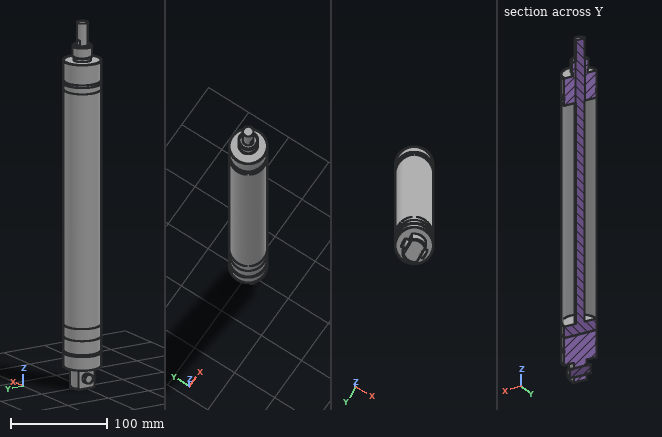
import cadquery as cq

TUBE_DIAMETER = 39.8
BORE_DIAMETER = 38.2
BODY_BOTTOM = 23.0
BODY_TOP = 353.5
BORE_BOTTOM = 54.8
BORE_TOP = 321.5
BODY_EDGE_CHAMFER = 0.5

GROOVE_DEPTH = 0.5
LOWER_GROOVE_BOTTOM = 38.0
LOWER_GROOVE_WIDTH = 2.0
UPPER_GROOVE_BOTTOM = 328.5
UPPER_GROOVE_WIDTH = 2.8

NOSE_DIAMETER = 20.5
NOSE_BOTTOM = 356.5
NOSE_TOP = 369.5
NOSE_CHAMFER = 1.0
NECK_DIAMETER = NOSE_DIAMETER - 2 * NOSE_CHAMFER

TANG_DIAMETER = 25.5
TANG_THICKNESS = 16.0
TANG_CHAMFER = 1.0
PIN_DIAMETER = 10.0
PIN_LENGTH = TANG_DIAMETER
PIN_HEIGHT = 11.5

ROD_DIAMETER = 11.5
ROD_TOP = 394
PISTON_THICKNESS = 13.0
WRENCH_FLAT_SPACING = 10.0
WRENCH_FLAT_TOP = 375.0


def cylinder(diameter, bottom, top):
    """Vertical cylinder on the Z axis between two heights."""
    return cq.Workplane("XY").workplane(offset=bottom).circle(diameter / 2).extrude(top - bottom)


def make_groove(bottom, width):
    """Ring that cuts a shallow groove into the body's outside."""
    core = cylinder(TUBE_DIAMETER - 2 * GROOVE_DEPTH, bottom, bottom + width)
    return cylinder(TUBE_DIAMETER, bottom, bottom + width).cut(core)


def make_tang():
    """Round stub with two flats that face along X."""
    stub = cylinder(TANG_DIAMETER, 0, BODY_BOTTOM).faces("<Z").chamfer(TANG_CHAMFER)
    slab = cq.Workplane("XY").box(
        TANG_THICKNESS, TANG_DIAMETER, BODY_BOTTOM, centered=(True, True, False)
    )
    return stub.intersect(slab)


def make_nose():
    """Collar with both rims chamfered, on a narrower neck."""
    neck = cylinder(NECK_DIAMETER, BODY_TOP, NOSE_BOTTOM)
    collar = cylinder(NOSE_DIAMETER, NOSE_BOTTOM, NOSE_TOP).faces("<Z or >Z").chamfer(NOSE_CHAMFER)
    return neck.union(collar)


def make_pin():
    """Pivot pin along X, centred in the tang."""
    return (
        cq.Workplane("YZ", origin=(-PIN_LENGTH / 2, 0, PIN_HEIGHT))
        .circle(PIN_DIAMETER / 2)
        .extrude(PIN_LENGTH)
    )


def make_body():
    """Cylinder with its nose and tang, bored for the piston, rod and pin."""
    body = cylinder(TUBE_DIAMETER, BODY_BOTTOM, BODY_TOP).faces("<Z or >Z").chamfer(BODY_EDGE_CHAMFER)
    body = body.cut(make_groove(LOWER_GROOVE_BOTTOM, LOWER_GROOVE_WIDTH))
    body = body.cut(make_groove(UPPER_GROOVE_BOTTOM, UPPER_GROOVE_WIDTH))
    body = body.union(make_tang()).union(make_nose())
    body = body.cut(cylinder(BORE_DIAMETER, BORE_BOTTOM, BORE_TOP))
    body = body.cut(cylinder(ROD_DIAMETER, BORE_TOP, NOSE_TOP))
    return body.cut(make_pin())


def make_piston_rod():
    """Piston at the bottom of the bore, with a rod that has two wrench flats above the nose."""
    piston = cylinder(BORE_DIAMETER, BORE_BOTTOM, BORE_BOTTOM + PISTON_THICKNESS)
    rod = piston.union(cylinder(ROD_DIAMETER, BORE_BOTTOM, ROD_TOP))
    flat_band = cylinder(ROD_DIAMETER, NOSE_TOP, WRENCH_FLAT_TOP)
    between_flats = (
        cq.Workplane("XY")
        .workplane(offset=NOSE_TOP)
        .rect(ROD_DIAMETER, WRENCH_FLAT_SPACING)
        .extrude(WRENCH_FLAT_TOP - NOSE_TOP)
    )
    return rod.cut(flat_band.cut(between_flats))


body = make_body()
piston_rod = make_piston_rod()
pin = make_pin()

result = cq.Compound.makeCompound([body.val(), piston_rod.val(), pin.val()])